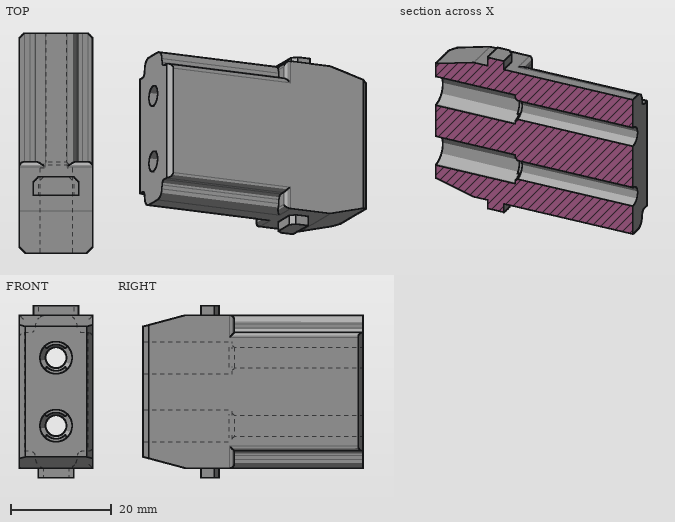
import cadquery as cq
import math

width = 14.6
height = 30.4
length = 43.7
half_width = width / 2
half_height = height / 2

front_chamfer = 1.2
rear_chamfer = 1.0
taper_length = 8.4
taper_angle = 15.0

head_length = 18.15
edge_radius = 1.0
rib_flat_half_width = 2.1
rib_radius = 2.0
rib_draft_angle = 7.0
rib_wall_height = 0.8
shoulder_radius = 1.0

tab_height = 1.9
tab_start = 11.5
tab_length = 3.65
tab_chamfer = 1.0
top_tab_width = 9.0
bottom_tab_width = 7.1

hole_spacing = 13.5
entry_diameter = 6.4
entry_depth = 17.0
through_diameter = 4.1
cone_depth = 1.15
relief_inner_radius = 2.6
relief_angle = 90.0


def stepped_section():
    """Constant section: rounded ribs above and below a wide core, mirrored in X and Z."""
    draft = math.radians(rib_draft_angle)
    middle = (math.pi / 2 - draft) / 2

    rib_center_z = half_height - rib_radius
    rib_middle = (
        rib_flat_half_width + rib_radius * math.sin(middle),
        rib_center_z + rib_radius * math.cos(middle),
    )
    wall_top = (
        rib_flat_half_width + rib_radius * math.cos(draft),
        rib_center_z + rib_radius * math.sin(draft),
    )
    wall_bottom = (
        wall_top[0] + rib_wall_height * math.tan(draft),
        wall_top[1] - rib_wall_height,
    )
    root_center_x = wall_bottom[0] + shoulder_radius * math.cos(draft)
    root_center_z = wall_bottom[1] + shoulder_radius * math.sin(draft)
    shoulder_z = root_center_z - shoulder_radius
    root_middle = (
        root_center_x - shoulder_radius * math.sin(middle),
        root_center_z - shoulder_radius * math.cos(middle),
    )
    corner_x = half_width - edge_radius
    corner_z = shoulder_z - edge_radius
    corner_middle = (
        corner_x + edge_radius * math.sqrt(0.5),
        corner_z + edge_radius * math.sqrt(0.5),
    )

    quarter = (
        cq.Workplane("XZ")
        .moveTo(0, 0)
        .lineTo(0, half_height)
        .lineTo(rib_flat_half_width, half_height)
        .threePointArc(rib_middle, wall_top)
        .lineTo(*wall_bottom)
        .threePointArc(root_middle, (root_center_x, shoulder_z))
        .lineTo(corner_x, shoulder_z)
        .threePointArc(corner_middle, (half_width, corner_z))
        .lineTo(half_width, 0)
        .close()
        .extrude(-length)
    )
    top_half = quarter.union(quarter.mirror("YZ"))
    return top_half.union(top_half.mirror("XY")).clean()


def head():
    """Full rectangular section with its rear edges rounded."""
    return (
        cq.Workplane("XZ")
        .rect(width, height)
        .extrude(-head_length)
        .faces(">Y")
        .edges()
        .fillet(edge_radius)
    )


def plan_outline():
    """Top outline with chamfered front and rear corners, as a tall prism."""
    return (
        cq.Workplane("XY")
        .polyline([
            (-half_width + front_chamfer, 0),
            (half_width - front_chamfer, 0),
            (half_width, front_chamfer),
            (half_width, length - rear_chamfer),
            (half_width - rear_chamfer, length),
            (-half_width + rear_chamfer, length),
            (-half_width, length - rear_chamfer),
            (-half_width, front_chamfer),
        ])
        .close()
        .extrude(half_height, both=True)
    )


def side_outline():
    """Side outline tapering toward the front face, as a wide prism."""
    front_z = half_height - taper_length * math.tan(math.radians(taper_angle))
    return (
        cq.Workplane("YZ")
        .polyline([
            (0, -front_z),
            (taper_length, -half_height),
            (length, -half_height),
            (length, half_height),
            (taper_length, half_height),
            (0, front_z),
        ])
        .close()
        .extrude(half_width, both=True)
    )


def tab(tab_width, side):
    """Tab with chamfered rear corners; side is +1 for the top, -1 for the bottom."""
    half_tab = tab_width / 2
    tab_end = tab_start + tab_length
    return (
        cq.Workplane("XY")
        .workplane(offset=side * half_height)
        .polyline([
            (-half_tab, tab_start),
            (half_tab, tab_start),
            (half_tab, tab_end - tab_chamfer),
            (half_tab - tab_chamfer, tab_end),
            (-half_tab + tab_chamfer, tab_end),
            (-half_tab, tab_end - tab_chamfer),
        ])
        .close()
        .extrude(side * tab_height)
    )


def wire_hole():
    """Entry bore, cone and through bore on the Y axis, with the cone relieved above and below."""
    entry_radius = entry_diameter / 2
    through_radius = through_diameter / 2
    cone_end = entry_depth + cone_depth
    bore = (
        cq.Workplane("XY")
        .polyline([
            (0, 0),
            (entry_radius, 0),
            (entry_radius, entry_depth),
            (through_radius, cone_end),
            (through_radius, length),
            (0, length),
        ])
        .close()
        .revolve(360, (0, 0, 0), (0, 1, 0))
    )

    cone_slope = cone_depth / (entry_radius - through_radius)
    ledge_depth = entry_depth + cone_slope * (entry_radius - relief_inner_radius)
    sector = (
        cq.Workplane("XY")
        .polyline([
            (relief_inner_radius, entry_depth),
            (entry_radius, entry_depth),
            (entry_radius, ledge_depth),
            (relief_inner_radius, ledge_depth),
        ])
        .close()
        .revolve(relief_angle, (0, 0, 0), (0, 1, 0))
    )
    for start_angle in (90 - relief_angle / 2, 270 - relief_angle / 2):
        bore = bore.union(sector.rotate((0, 0, 0), (0, 1, 0), start_angle))
    return bore


result = stepped_section().union(head())
result = result.intersect(plan_outline()).intersect(side_outline())
result = result.union(tab(top_tab_width, 1)).union(tab(bottom_tab_width, -1))
for hole_z in (-hole_spacing / 2, hole_spacing / 2):
    result = result.cut(wire_hole().translate((0, 0, hole_z)))